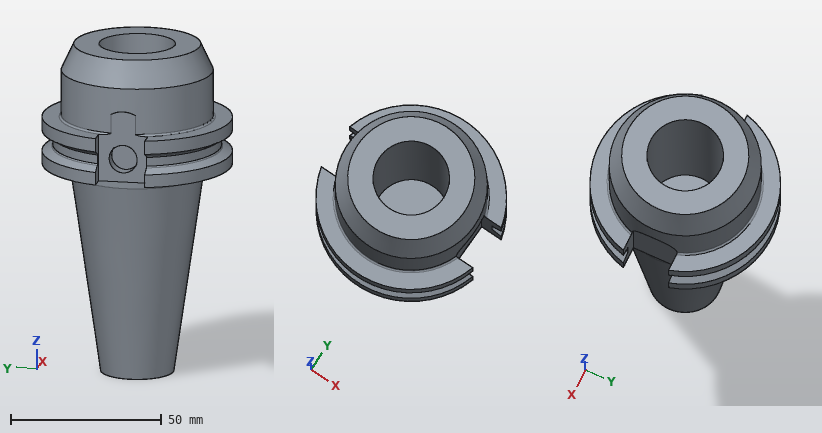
import cadquery as cq
import math

total_height = 112.7
shank_tip_radius = 12.3
shank_radius = 22.2
taper_top_z = 68.5

flange_radius = 31.8
flange_bottom_z = 71.6
flange_top_z = 87.6
groove_radius = 28.2
groove_floor_height = 3.7
groove_mouth_height = 7.1
groove_z = 79.5
groove_fillet = 0.6

nose_radius = 25.4
nose_tip_radius = 21.2
nose_cone_height = 8.9
root_fillet = 0.7

bore_radius = 12.7
bore_depth = 50.7

slot_width = 16.7
slot_top_z = 95.8
shallow_floor_x = 25.0
deep_floor_x = 22.8

side_hole_radius = 4.7
side_hole_depth = 4.5


def turned_body():
    """Shank, flange and nose revolved about Z."""
    arc_offset = root_fillet * (1 - math.sqrt(0.5))
    profile = (
        cq.Workplane("XZ")
        .lineTo(shank_tip_radius, 0)
        .lineTo(shank_radius, taper_top_z)
        .lineTo(shank_radius, flange_bottom_z)
        .lineTo(flange_radius, flange_bottom_z)
        .lineTo(flange_radius, groove_z - groove_mouth_height / 2)
        .lineTo(groove_radius, groove_z - groove_floor_height / 2)
        .lineTo(groove_radius, groove_z + groove_floor_height / 2)
        .lineTo(flange_radius, groove_z + groove_mouth_height / 2)
        .lineTo(flange_radius, flange_top_z)
        .lineTo(nose_radius + root_fillet, flange_top_z)
        .threePointArc(
            (nose_radius + arc_offset, flange_top_z + arc_offset),
            (nose_radius, flange_top_z + root_fillet),
        )
        .lineTo(nose_radius, total_height - nose_cone_height)
        .lineTo(nose_tip_radius, total_height)
        .lineTo(0, total_height)
        .close()
    )
    body = profile.revolve(360, (0, 0, 0), (0, 1, 0))
    groove_corners = body.edges("%CIRCLE").filter(
        lambda edge: abs(edge.Center().z - groove_z) < groove_floor_height / 2 + groove_fillet
    )
    return groove_corners.fillet(groove_fillet)


def clamping_bore():
    """Blind bore from the top face."""
    return (
        cq.Workplane("XY")
        .workplane(offset=total_height - bore_depth)
        .circle(bore_radius)
        .extrude(bore_depth)
    )


def drive_slot(floor_x, side):
    """Round-topped slot cutter running outward from its floor; side is -1 or +1 along X."""
    half_width = slot_width / 2
    shoulder_z = slot_top_z - half_width
    return (
        cq.Workplane("YZ")
        .workplane(offset=side * floor_x)
        .moveTo(-half_width, flange_bottom_z)
        .lineTo(half_width, flange_bottom_z)
        .lineTo(half_width, shoulder_z)
        .threePointArc((0, slot_top_z), (-half_width, shoulder_z))
        .close()
        .extrude(side * flange_radius)
    )


def side_hole():
    """Flat-bottomed hole going inward from the -X slot floor."""
    return (
        cq.Workplane("YZ")
        .workplane(offset=-shallow_floor_x)
        .center(0, groove_z)
        .circle(side_hole_radius)
        .extrude(side_hole_depth)
    )


result = (
    turned_body()
    .cut(clamping_bore())
    .cut(drive_slot(shallow_floor_x, -1))
    .cut(drive_slot(deep_floor_x, 1))
    .cut(side_hole())
)